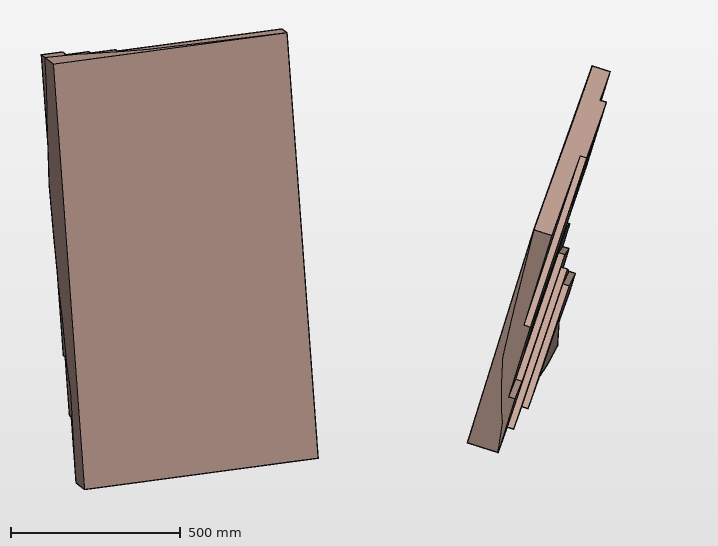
import cadquery as cq

WIDTH = 716.0
HEIGHT = 1291.0
BACKWARD_LEAN = 8.48
SIDE_LEAN = 1.86

LAYER_STEP = 20.0
CHANNEL_DEPTH = 56.0
SHELF_DEPTH = CHANNEL_DEPTH + LAYER_STEP
LOWER_DEPTH = SHELF_DEPTH + LAYER_STEP
MIDDLE_DEPTH = LOWER_DEPTH + LAYER_STEP
FRONT_DEPTH = MIDDLE_DEPTH + LAYER_STEP

OVERSHOOT = 40.0
FAR_SIDE = WIDTH + OVERSHOOT
ABOVE = HEIGHT + OVERSHOOT
BELOW = -OVERSHOOT

CORNER_DEPTH = 95.0
THIN_EDGE_DEPTH = 1.0
CORE_SECTION = [
    (0, CORNER_DEPTH),
    (96.0, 81.0),
    (131, 68.0),
    (214.0, 45.0),
    (297.0, 25.0),
    (456.0, 15.0),
    (WIDTH, THIN_EDGE_DEPTH),
]
CORE_EDGE = [
    (0, CORNER_DEPTH),
    (92, 90.0),
    (205.0, 84.0),
    (265.0, 80.0),
    (303.0, 85.0),
    (355, 101.0),
    (483.0, 113.0),
    (604, 133.0),
    (735, 146.0),
    (893, 155.0),
    (1032.0, 133.0),
    (1107.0, 120.0),
    (1191.0, 102.0),
    (HEIGHT, CORNER_DEPTH),
]

FRONT_EDGE = [(66, HEIGHT), (201.0, 875.0), (3.0, 385.0)]
MIDDLE_EDGE = [(66, HEIGHT), (252.0, 872.0), (3.0, 208.0)]
LOWER_EDGE = [(135.0, HEIGHT), (294.0, 871.0), (118, 285.0), (181.0, 0)]
CHANNEL_EDGE = [(211.0, HEIGHT), (357.0, 932), (200.0, 322.0)]
CHANNEL_FOOT = (320.0, 292.0)
LEDGE_HEIGHT = 1066.0
LEDGE_CORNER = (505.0, LEDGE_HEIGHT)
CORNER_CUT = [(WIDTH, 626.0), (415.0, 0)]

ARROW_TIP = (685.0, 905.0)
ARROW_ENDS = [(573.0, 590.0), (666.0, 905.0), (675.0, 929.0), (700.0, 900.0)]
ENGRAVING_WIDTH = 4.0
ENGRAVING_DEPTH = 3.0


def extend(start, end):
    """Point past end on the line from start, where the line has run well outside the panel."""
    run = end[0] - start[0]
    rise = end[1] - start[1]
    factor = OVERSHOOT / (run**2 + rise**2) ** 0.5
    return (end[0] + run * factor, end[1] + rise * factor)


def run_past_ends(edge):
    return [extend(edge[1], edge[0]), *edge, extend(edge[-2], edge[-1])]


def forward_prism(outline, back_depth, front_depth):
    """Outline in the panel plane, extruded between two depths."""
    return (
        cq.Workplane("YZ", origin=(-back_depth, 0, 0))
        .polyline(outline)
        .close()
        .extrude(back_depth - front_depth)
    )


def tilt(body):
    origin = (0, 0, 0)
    leaned = body.rotate(origin, (1, 0, 0), SIDE_LEAN)
    return leaned.rotate(origin, (0, 1, 0), -BACKWARD_LEAN)


def panel_block(depth):
    panel = [(0, 0), (WIDTH, 0), (WIDTH, HEIGHT), (0, HEIGHT)]
    return forward_prism(panel, 0, depth)


def make_core():
    """Wavy backing: one cross-section scaled in depth along the height.

    The lofted sections run past the sides and the back, and the panel block trims them flat.
    """
    outer_profile = run_past_ends(CORE_SECTION)
    sections = []
    for height, edge_depth in CORE_EDGE:
        scale = edge_depth / CORNER_DEPTH
        front = [cq.Vector(-depth * scale, across, height) for across, depth in outer_profile]
        back = [cq.Vector(OVERSHOOT, across, height) for across in (FAR_SIDE, -OVERSHOOT)]
        sections.append(cq.Wire.makePolygon(front + back, close=True))
    loft = cq.Workplane(cq.Solid.makeLoft(sections, True))
    return panel_block(FRONT_DEPTH + OVERSHOOT).intersect(loft)


def terrace_recesses():
    """Outlines to clear, each with the depth of its floor."""
    far_corners = [(FAR_SIDE, BELOW), (FAR_SIDE, ABOVE)]
    side_corners = [(BELOW, BELOW), *far_corners]
    channel = [
        extend(CHANNEL_EDGE[1], CHANNEL_EDGE[0]),
        *CHANNEL_EDGE,
        CHANNEL_FOOT,
        LEDGE_CORNER,
        (FAR_SIDE, LEDGE_HEIGHT),
        (FAR_SIDE, ABOVE),
    ]
    return [
        (run_past_ends(FRONT_EDGE) + side_corners, MIDDLE_DEPTH),
        (run_past_ends(MIDDLE_EDGE) + side_corners, LOWER_DEPTH),
        (run_past_ends(LOWER_EDGE) + far_corners, SHELF_DEPTH),
        (channel, CHANNEL_DEPTH),
        (run_past_ends(CORNER_CUT) + [(FAR_SIDE, BELOW)], CHANNEL_DEPTH),
    ]


def engrave_arrow(cladding):
    """Fine strokes that taper away from the arrow tip."""
    for end in ARROW_ENDS:
        run = end[0] - ARROW_TIP[0]
        rise = end[1] - ARROW_TIP[1]
        half = ENGRAVING_WIDTH / 2 / (run**2 + rise**2) ** 0.5
        left = (ARROW_TIP[0] - rise * half, ARROW_TIP[1] + run * half)
        right = (ARROW_TIP[0] + rise * half, ARROW_TIP[1] - run * half)
        stroke = forward_prism([left, end, right], SHELF_DEPTH - ENGRAVING_DEPTH, SHELF_DEPTH)
        cladding = cladding.cut(stroke)
    return cladding


def make_cladding(core):
    """Terraced front layer, hollowed to fit the core."""
    cladding = panel_block(FRONT_DEPTH)
    for outline, floor_depth in terrace_recesses():
        cladding = cladding.cut(forward_prism(outline, floor_depth, FRONT_DEPTH + OVERSHOOT))
    return engrave_arrow(cladding).cut(core)


core = make_core()
cladding = make_cladding(core)
result = cq.Compound.makeCompound([tilt(core).val(), tilt(cladding).val()])